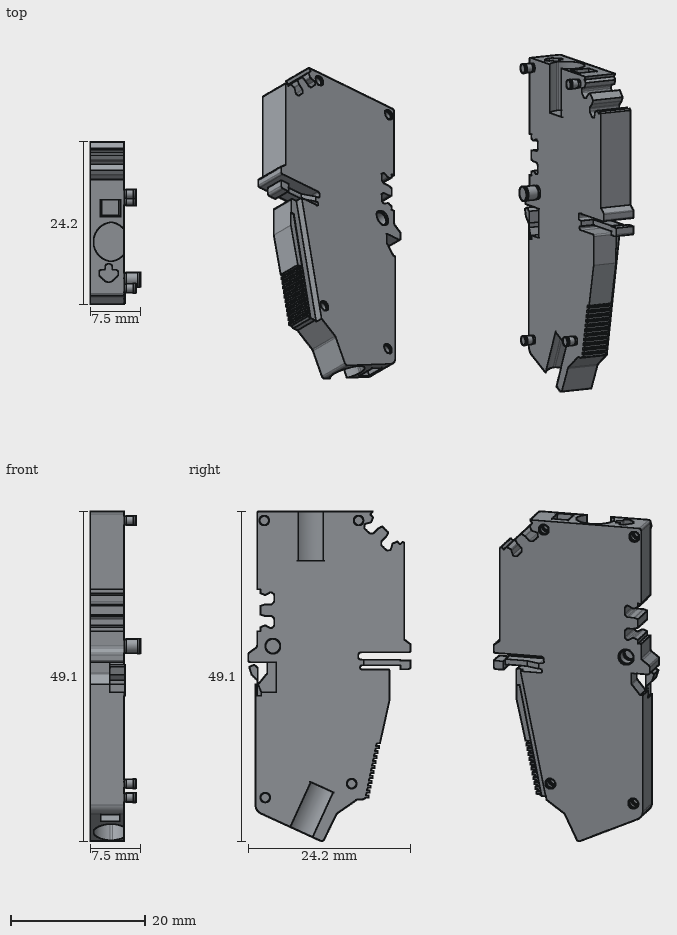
import cadquery as cq
import math

THICKNESS = 5.05
HEIGHT = 49.15
DEPTH = 24.2

TOP_FRONT_Y = 1.35
TOP_BACK_CORNER_Y = 18.55
TOP_BACK_Y = 23.3
LOWER_FRONT_Y = 1.1
LOWER_BACK_Y = 21.1

COMB_LENGTH = 6.25
HALF_COMB = [
    (0.0, 0.5, 0),
    (0.6, 0.5, 0),
    (0.9, 1.25, 0.25),
    (0.4, 2.1, 0.25),
    (0.8, 2.55, 0.25),
    (1.85, 2.55, 0.25),
    (2.25, 2.15, 0.25),
    (2.25, 1.15, 0.25),
    (2.45, 0.5, 0),
]
FRONT_COMB_CENTRE = (TOP_FRONT_Y, 34.4)
BACK_COMB_CENTRE = (20.8, 46.75)

RAIL_FOOT_TOP_Z = 30.0
RAIL_FOOT_EDGE_Z = 29.35
RAIL_SLOT_TOP_Z = 28.1
RAIL_SLOT_END_Y = 16.4
LOWER_SLOT_END_Y = 16.7
SLOT_ROOT_Y = 17.2
ARM_TOP_Z = 27.0
ARM_BOTTOM_Z = 26.2
LOWER_TOP_Z = 25.6
POCKET_TOP_Z = 26.65
POCKET_BACK_Y = 2.85
POCKET_SLOPE_TOP_Z = 25.0
FRONT_FOOT_TOP_Z = 28.95
FRONT_FOOT_EDGE_Z = 27.95
LOWER_FRONT_TOP_Z = 23.35

TOOTH_COUNT = 11
TOOTH_PITCH = 0.75
TOOTH_HEIGHT = TOOTH_PITCH / 2
TOOTH_DEPTH = 0.45
TOOTH_LEAN = 0.15
GRIP_TOP = (19.65, 14.55)
BACK_SLOPE_TOP_Z = 21.0
GRIP_LEDGE_Z = 6.2

FOOT_HEEL = (13.2, 4.1)
FOOT_TIP = (11.15, -0.14)
FOOT_SLOPE = math.radians(24.6)

STRIP_TOP_Y = 20.05
STRIP_BOTTOM = (16.0, 6.0)
STRIP_DEPTH = 1.2
SLIDER_TOP = (20.55, 23.1)
SLIDER_BOTTOM_Y = 17.1
SLIDER_DEPTH = 1.3

BACK_LATCH_WIDTH = 2.95
BACK_LATCH_INSET = 0.95
ARM_FLARE_Y = 19.3
ARM_ROOT_OVERLAP = 0.5
LATCH_HEAD_LENGTH = 1.5
LATCH_HEAD_TOP_Z = 26.9
LATCH_HEAD_BOTTOM_Z = 25.6
FRONT_LATCH_X = 2.95
FRONT_LATCH_END_X = 5.2
LATCH_WINDOW_BOTTOM_Z = 22.2
FRONT_LATCH_BOTTOM_Z = 21.6
FRONT_LATCH_FACE_Y = 1.35
FRONT_LATCH_INNER_Y = 1.45
FRONT_LATCH_ROOT_Y = 1.95
LATCH_WINDOW_BACK_Y = 4.2

SMALL_PEG_RADIUS = 0.7
SMALL_PEG_LENGTH = 1.75
LARGE_PEG_RADIUS = 1.1
LARGE_PEG_LENGTH = 2.45
PEG_RIM = 0.05
PEG_RIM_LENGTH = 0.4
PEG_END_CHAMFER = 0.1
PEG_NECK = 0.05
PEG_NECK_LENGTH = 0.35
SMALL_PEGS = [(16.45, 47.75), (2.4, 47.75), (15.45, 8.55), (2.55, 6.5)]
LARGE_PEG = (3.7, 29.05)
SOCKET_CLEARANCE = 0.1
SOCKET_STEP = 0.15
SOCKET_LEAD_IN = 0.35

OPENING_DEPTH = 7.35
WIRE_HOLE_Y = 9.35
WIRE_HOLE_LEFT_X = 0.5
WIRE_HOLE_RIGHT_X = 5.7
WIRE_HOLE_HALF_WIDTH = 2.9
WIRE_HOLE_FLAT = (2.95, 3.3)
TOOL_POCKET_X = (1.45, 4.5)
TOOL_POCKET_Y = (13.05, 15.6)
TOOL_POCKET_TAPER = 0.25
KEY_HOLE_CENTRE = (2.75, 4.7)
FOOT_WIRE_HOLE_REACH = 3.55
FOOT_TOOL_POCKET_REACH = 8.6
FOOT_TOOL_POCKET_SIZE = (2.85, 2.2)


def rounded_outline(plane, corners):
    """Closed wire through (a, b, radius) corners, each rounded by a tangent arc of that radius."""
    pieces = []
    for i, (a, b, radius) in enumerate(corners):
        corner = cq.Vector(a, b)
        before = (cq.Vector(*corners[i - 1][:2]) - corner).normalized()
        after = (cq.Vector(*corners[(i + 1) % len(corners)][:2]) - corner).normalized()
        if radius == 0:
            pieces.append((corner, None, corner))
            continue
        half_angle = before.getAngle(after) / 2
        setback = radius / math.tan(half_angle)
        bisector = (before + after).normalized()
        middle = corner + bisector * (radius / math.sin(half_angle) - radius)
        pieces.append((corner + before * setback, middle, corner + after * setback))

    wire = cq.Workplane(plane).moveTo(*pieces[0][2].toTuple()[:2])
    for start, middle, end in pieces[1:] + pieces[:1]:
        wire = wire.lineTo(*start.toTuple()[:2])
        if middle is not None:
            wire = wire.threePointArc(middle.toTuple()[:2], end.toTuple()[:2])
    return wire.close()


def comb_corners(centre, along, inward):
    """Corners of a marker comb centred on an edge, given the edge and inward directions."""
    mirrored = [(COMB_LENGTH - s, d, r) for s, d, r in reversed(HALF_COMB)]
    corners = []
    for s, d, radius in HALF_COMB + mirrored:
        offset = s - COMB_LENGTH / 2
        y = centre[0] + offset * along[0] + d * inward[0]
        z = centre[1] + offset * along[1] + d * inward[1]
        corners.append((y, z, radius))
    return corners


def teeth_corners():
    """Grip teeth, listed downwards along the sloping back edge."""
    corners = []
    for i in range(TOOTH_COUNT + 1):
        tip_y = GRIP_TOP[0] - i * TOOTH_LEAN
        bottom_z = GRIP_TOP[1] - i * TOOTH_PITCH
        root_y = tip_y - TOOTH_DEPTH
        if i > 0:
            corners.append((root_y, bottom_z + TOOTH_HEIGHT, 0))
            corners.append((tip_y, bottom_z + TOOTH_HEIGHT, 0))
        corners.append((tip_y, bottom_z, 0))
        corners.append((root_y, bottom_z, 0))
    return corners


def housing():
    """Side outline of the whole part, without the latches, over the full thickness."""
    diagonal = math.sqrt(0.5)
    slant_run = FOOT_TIP[0] - LOWER_FRONT_Y
    slant_top_z = FOOT_TIP[1] + slant_run * math.tan(FOOT_SLOPE)
    comb_start_z = FRONT_COMB_CENTRE[1] + COMB_LENGTH / 2
    comb_end_z = FRONT_COMB_CENTRE[1] - COMB_LENGTH / 2

    corners = [(TOP_FRONT_Y, HEIGHT, 0.35), (TOP_BACK_CORNER_Y, HEIGHT, 0)]
    corners += comb_corners(BACK_COMB_CENTRE, (diagonal, -diagonal), (-diagonal, -diagonal))
    corners += [
        (23.05, 44.6, 0),
        (TOP_BACK_Y, 44.35, 0),
        (TOP_BACK_Y, RAIL_FOOT_TOP_Z, 0),
        (DEPTH, RAIL_FOOT_EDGE_Z, 0.2),
        (DEPTH, RAIL_SLOT_TOP_Z, 0.3),
        (RAIL_SLOT_END_Y, RAIL_SLOT_TOP_Z, 0.45),
        (RAIL_SLOT_END_Y, ARM_TOP_Z + 0.1, 0.35),
        (SLOT_ROOT_Y, ARM_TOP_Z, 0),
        (SLOT_ROOT_Y, ARM_BOTTOM_Z, 0),
        (LOWER_SLOT_END_Y, ARM_BOTTOM_Z, 0.25),
        (LOWER_SLOT_END_Y, LOWER_TOP_Z, 0.25),
        (LOWER_BACK_Y, LOWER_TOP_Z, 0.25),
        (LOWER_BACK_Y, BACK_SLOPE_TOP_Z, 0),
    ]
    corners += teeth_corners()
    corners += [
        (SLIDER_BOTTOM_Y, GRIP_LEDGE_Z, 0),
        (16.25, GRIP_LEDGE_Z, 0),
        (*FOOT_HEEL, 0.5),
        (*FOOT_TIP, 0.45),
        (LOWER_FRONT_Y, slant_top_z, 1.45),
        (LOWER_FRONT_Y, LOWER_FRONT_TOP_Z, 0),
        (FRONT_LATCH_INNER_Y, LOWER_FRONT_TOP_Z, 0),
        (POCKET_BACK_Y, POCKET_SLOPE_TOP_Z, 0.25),
        (POCKET_BACK_Y, POCKET_TOP_Z, 0),
        (0, POCKET_TOP_Z, 0.35),
        (0, FRONT_FOOT_EDGE_Z, 0.4),
        (TOP_FRONT_Y, FRONT_FOOT_TOP_Z, 0.4),
        (TOP_FRONT_Y, comb_end_z, 0),
    ]
    corners += comb_corners(FRONT_COMB_CENTRE, (0, 1), (1, 0))
    corners.append((TOP_FRONT_Y, comb_start_z, 0))
    return rounded_outline("YZ", corners).extrude(THICKNESS)


def recessed_strips():
    """Material removed from the X = 0 side along the sloping back edge."""
    below = STRIP_BOTTOM[1]
    strip = (
        cq.Workplane("YZ")
        .polyline([(STRIP_TOP_Y, LOWER_TOP_Z), (DEPTH, LOWER_TOP_Z), (DEPTH, below), STRIP_BOTTOM])
        .close()
        .extrude(STRIP_DEPTH)
    )
    slider = (
        cq.Workplane("YZ")
        .polyline([SLIDER_TOP, (DEPTH, SLIDER_TOP[1]), (DEPTH, below), (SLIDER_BOTTOM_Y, below)])
        .close()
        .extrude(SLIDER_DEPTH)
    )
    return strip.union(slider)


def back_latch():
    """Arm in the rail slot, flared to the X = 0 side at its root, ending in a block-shaped head."""
    head_front_y = DEPTH - LATCH_HEAD_LENGTH
    root_y = SLOT_ROOT_Y - ARM_ROOT_OVERLAP
    arm = (
        cq.Workplane("XY", origin=(0, 0, ARM_BOTTOM_Z))
        .polyline([
            (BACK_LATCH_INSET, head_front_y),
            (BACK_LATCH_WIDTH, head_front_y),
            (BACK_LATCH_WIDTH, root_y),
            (0, root_y),
            (0, SLOT_ROOT_Y),
            (BACK_LATCH_INSET, ARM_FLARE_Y),
        ])
        .close()
        .extrude(ARM_TOP_Z - ARM_BOTTOM_Z)
    )
    head = rounded_outline("YZ", [
        (head_front_y, LATCH_HEAD_TOP_Z, 0),
        (DEPTH, LATCH_HEAD_TOP_Z, 0),
        (DEPTH, LATCH_HEAD_BOTTOM_Z, 0.4),
        (head_front_y, LATCH_HEAD_BOTTOM_Z, 0),
    ]).extrude(BACK_LATCH_WIDTH)
    return arm.union(head)


def front_latch_window():
    """Opening around the front latch, from the rail pocket out to the +X side."""
    height = POCKET_TOP_Z - LATCH_WINDOW_BOTTOM_Z
    return cq.Workplane("XY").box(
        THICKNESS - FRONT_LATCH_X, LATCH_WINDOW_BACK_Y, height, centered=False
    ).translate((FRONT_LATCH_X, 0, LATCH_WINDOW_BOTTOM_Z))


def front_latch():
    """Hooked finger standing in the front rail pocket."""
    profile = [
        (FRONT_LATCH_ROOT_Y, FRONT_LATCH_BOTTOM_Z),
        (FRONT_LATCH_ROOT_Y, LATCH_WINDOW_BOTTOM_Z),
        (FRONT_LATCH_INNER_Y, LOWER_FRONT_TOP_Z),
        (FRONT_LATCH_INNER_Y, 25.8),
        (0.9, 26.3),
        (0.15, 25.95),
        (0.5, 24.8),
        (FRONT_LATCH_FACE_Y, 24.0),
        (FRONT_LATCH_FACE_Y, FRONT_LATCH_BOTTOM_Z),
    ]
    width = FRONT_LATCH_END_X - FRONT_LATCH_X
    return cq.Workplane("YZ", origin=(FRONT_LATCH_X, 0, 0)).polyline(profile).close().extrude(width)


def cylinder(place, x_start, radius, length):
    return cq.Workplane("YZ", origin=(x_start, 0, 0)).center(*place).circle(radius).extrude(length)


def peg(place, radius, length):
    neck = cylinder(place, THICKNESS, radius - PEG_NECK, PEG_NECK_LENGTH)
    shank = cylinder(place, THICKNESS + PEG_NECK_LENGTH, radius, length - PEG_NECK_LENGTH)
    rim = cylinder(place, THICKNESS + length - PEG_RIM_LENGTH, radius + PEG_RIM, PEG_RIM_LENGTH)
    return neck.union(shank).union(rim.faces(">X").chamfer(PEG_END_CHAMFER))


def socket(place, radius, length):
    mouth = cylinder(place, 0, radius + SOCKET_CLEARANCE, SOCKET_LEAD_IN)
    bore = cylinder(place, 0, radius + SOCKET_CLEARANCE - SOCKET_STEP, length - SOCKET_LEAD_IN)
    tip = cylinder(place, 0, radius + SOCKET_CLEARANCE - 2 * SOCKET_STEP, length)
    return mouth.union(bore).union(tip)


def wire_hole(plane):
    """Flattened round hole around the plane origin; it breaks out through the +X side."""
    flat_start, flat_end = WIRE_HOLE_FLAT
    half = WIRE_HOLE_HALF_WIDTH
    return (
        cq.Workplane(plane)
        .moveTo(flat_start, half)
        .threePointArc((WIRE_HOLE_LEFT_X, 0), (flat_start, -half))
        .lineTo(flat_end, -half)
        .threePointArc((WIRE_HOLE_RIGHT_X, 0), (flat_end, half))
        .close()
        .extrude(-OPENING_DEPTH)
    )


def top_tool_pocket():
    x_min, x_max = TOOL_POCKET_X
    y_min, y_max = TOOL_POCKET_Y
    middle = ((x_min + x_max) / 2, (y_min + y_max) / 2)
    width = x_max - x_min
    depth = y_max - y_min
    return (
        cq.Workplane("XY", origin=(0, 0, HEIGHT))
        .center(*middle)
        .rect(width, depth)
        .workplane(offset=-OPENING_DEPTH)
        .center(0, TOOL_POCKET_TAPER / 2)
        .rect(width - 2 * TOOL_POCKET_TAPER, depth - TOOL_POCKET_TAPER)
        .loft()
    )


def key_hole():
    half = [
        (0.55, 1.35, 0.45),
        (0.55, 0.45, 0.15),
        (1.42, 0.45, 0.35),
        (1.42, -0.4, 0.35),
        (0.5, -1.3, 0.3),
    ]
    mirrored = [(-x, y, r) for x, y, r in reversed(half)]
    corners = half + [(0, -1.42, 0)] + mirrored
    placed = [(x + KEY_HOLE_CENTRE[0], y + KEY_HOLE_CENTRE[1], r) for x, y, r in corners]
    return rounded_outline("XY", placed).extrude(-OPENING_DEPTH).translate((0, 0, HEIGHT))


def foot_plane(reach):
    """Plane on the slanted foot face, at a distance from the foot tip, facing outwards."""
    y = FOOT_TIP[0] - reach * math.cos(FOOT_SLOPE)
    z = FOOT_TIP[1] + reach * math.sin(FOOT_SLOPE)
    outward = (0, -math.sin(FOOT_SLOPE), -math.cos(FOOT_SLOPE))
    return cq.Plane(origin=(0, y, z), xDir=(1, 0, 0), normal=outward)


def foot_tool_pocket():
    return (
        cq.Workplane(foot_plane(FOOT_TOOL_POCKET_REACH))
        .center(sum(TOOL_POCKET_X) / 2, 0)
        .rect(*FOOT_TOOL_POCKET_SIZE)
        .extrude(-OPENING_DEPTH)
    )


top_plane = cq.Plane(origin=(0, WIRE_HOLE_Y, HEIGHT), xDir=(1, 0, 0), normal=(0, 0, 1))

result = housing().cut(recessed_strips()).cut(front_latch_window())
for opening in (
    wire_hole(top_plane),
    top_tool_pocket(),
    key_hole(),
    wire_hole(foot_plane(FOOT_WIRE_HOLE_REACH)),
    foot_tool_pocket(),
):
    result = result.cut(opening)

result = result.union(back_latch()).union(front_latch())

for place in SMALL_PEGS:
    result = result.cut(socket(place, SMALL_PEG_RADIUS, SMALL_PEG_LENGTH))
    result = result.union(peg(place, SMALL_PEG_RADIUS, SMALL_PEG_LENGTH))
result = result.cut(socket(LARGE_PEG, LARGE_PEG_RADIUS, LARGE_PEG_LENGTH))
result = result.union(peg(LARGE_PEG, LARGE_PEG_RADIUS, LARGE_PEG_LENGTH))